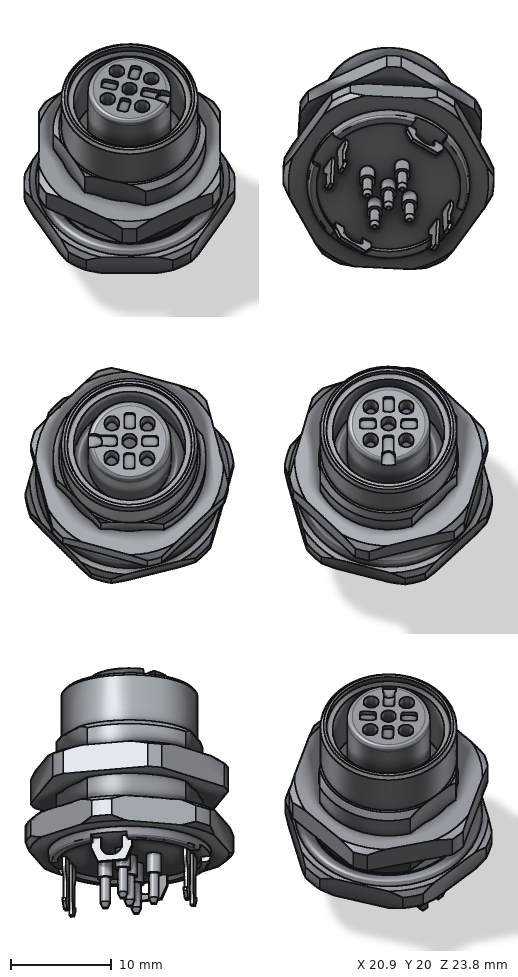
import cadquery as cq
import math

total_height = 23.8
rim_bottom = 4.74
recess_floor = 5.28
flange_bottom = 5.8
flange_top = 8.45
nut_bottom = 11.5
nut_height = 2.8
thread_top = 17.28
collar_top = 22.37

flange_across_flats = 19.05
flange_corner_radius = 10.45
flange_chamfer_width = 0.52
flange_chamfer_height = 0.48
nut_across_flats = 18.0
nut_corner_radius = 10.0
nut_chamfer_width = 0.67
nut_chamfer_height = nut_chamfer_width * math.tan(math.radians(30))
nut_bore_radius = 6.93

thread_radius = 7.6
thread_chamfer = 0.6
collar_radius = 6.75
collar_chamfer = 0.3
thread_flat_distance = collar_radius
thread_flat_angles = (90, 135, 270, 315)
mouth_radius = 6.16
mouth_depth = 0.7
socket_radius = 5.55
socket_floor = 14.28

core_radius = 4.12
core_fillet = 0.5
contact_pitch_radius = 2.5
contact_mouth_radius = 0.74
contact_inner_radius = 0.57
contact_depth = 1.9
pocket_inner_end = 1.24
pocket_outer_end = 2.85
pocket_width = 1.1
pocket_corner_radius = 0.33
pocket_depth = 0.5
pocket_angles = (45, 135, 225, 315)
key_angle = 45
key_width = 1.33
key_inner_end = 2.71
key_centre = key_inner_end + key_width / 2
key_depth = 0.8

socket_ring_section = (socket_radius - core_radius) / 2
socket_ring_radius = (socket_radius + core_radius) / 2
groove_inner_radius = 7.75
groove_outer_radius = 9.3
flange_ring_section = (groove_outer_radius - groove_inner_radius) / 2
flange_ring_radius = (groove_outer_radius + groove_inner_radius) / 2
flange_ring_rise = 0.33
groove_depth = 2 * flange_ring_section - flange_ring_rise

rim_top_radius = 8.1
rim_bottom_radius = 7.95
rim_fillet = 0.25
recess_radius = 7.15
notch_width = 3.71
pin_radius = 0.5
pin_tip_radius = 0.24
pin_tip = 0.17
pin_taper_top = 0.71
pin_shoulder_radius = 0.75
pin_shoulder_bottom = 3.25
clip_thickness = 0.35
hook_clip_distance = 6.05
loop_clip_distance = 6.33


def cylinder(radius, bottom, top):
    """Upright cylinder on the part axis."""
    return cq.Workplane("XY").workplane(offset=bottom).circle(radius).extrude(top - bottom)


def hexagon(across_flats, bottom, height):
    """Hexagonal prism with corners on the X axis."""
    corner_diameter = across_flats / math.cos(math.radians(30))
    return cq.Workplane("XY").workplane(offset=bottom).polygon(6, corner_diameter).extrude(height)


def turned(points):
    """Solid of revolution about Z from (radius, height) points."""
    return cq.Workplane("XZ").polyline(points).close().revolve(360, (0, 0, 0), (0, 1, 0))


def o_ring(ring_radius, section_radius, centre_height):
    """Full torus around the part axis."""
    return (
        cq.Workplane("XZ").center(ring_radius, centre_height).circle(section_radius)
        .revolve(360, (-ring_radius, 0, 0), (-ring_radius, 1, 0))
    )


def contact_positions():
    """Centre contact and four contacts on the pitch circle."""
    ring = [(contact_pitch_radius * math.cos(k * math.pi / 2),
             contact_pitch_radius * math.sin(k * math.pi / 2)) for k in range(4)]
    return [(0, 0)] + ring


def flange():
    """Hex flange with turned corners, chamfered above and below, and the O-ring groove."""
    chamfer_radius = flange_corner_radius - flange_chamfer_width
    blank = turned([
        (0, flange_bottom), (chamfer_radius, flange_bottom),
        (flange_corner_radius, flange_bottom + flange_chamfer_height),
        (flange_corner_radius, flange_top - flange_chamfer_height),
        (chamfer_radius, flange_top), (0, flange_top),
    ])
    body = hexagon(flange_across_flats, flange_bottom, flange_top - flange_bottom).intersect(blank)
    groove = cylinder(groove_outer_radius, flange_top - groove_depth, flange_top).cut(
        cylinder(groove_inner_radius, flange_top - groove_depth, flange_top))
    return body.cut(groove)


def threaded_section():
    """Chamfered cylinder with two pairs of opposite flats, 45 degrees apart."""
    body = cylinder(thread_radius, flange_top, thread_top).faces(">Z").chamfer(thread_chamfer)
    height = thread_top - flange_top
    for angle in thread_flat_angles:
        beyond_flat = (
            cq.Workplane("XY")
            .box(thread_radius, 2 * thread_radius, height, centered=(False, True, False))
            .translate((thread_flat_distance, 0, flange_top))
            .rotate((0, 0, 0), (0, 0, 1), angle)
        )
        body = body.cut(beyond_flat)
    return body


def collar():
    """Plain cylinder above the thread."""
    return cylinder(collar_radius, thread_top, collar_top).faces(">Z").chamfer(collar_chamfer)


def core():
    """Contact carrier in the middle of the socket."""
    body = cylinder(core_radius, socket_floor, total_height).faces(">Z").edges().fillet(core_fillet)
    for x, y in contact_positions():
        body = body.cut(contact_hole(x, y, tapered=(x, y) != (0, 0)))
    for angle in pocket_angles:
        outer_end = key_centre if angle == key_angle else pocket_outer_end
        body = body.cut(pocket(outer_end).rotate((0, 0, 0), (0, 0, 1), angle))
    return body.cut(keyway())


def contact_hole(x, y, tapered):
    """Blind contact hole; the outer four narrow towards the bottom."""
    bottom_radius = contact_inner_radius if tapered else contact_mouth_radius
    hole = turned([
        (0, total_height), (contact_mouth_radius, total_height),
        (bottom_radius, total_height - contact_depth), (0, total_height - contact_depth),
    ])
    return hole.translate((x, y, 0))


def pocket(outer_end):
    """Shallow rounded pocket lying along +X."""
    length = outer_end - pocket_inner_end
    return (
        cq.Workplane("XY").workplane(offset=total_height - pocket_depth)
        .center(pocket_inner_end + length / 2, 0).rect(length, pocket_width)
        .extrude(pocket_depth).edges("|Z").fillet(pocket_corner_radius)
    )


def keyway():
    """Round-ended coding slot, open at the side of the core."""
    half = key_width / 2
    slot = (
        cq.Workplane("XY").workplane(offset=total_height - key_depth)
        .moveTo(core_radius + half, -half).lineTo(key_centre, -half)
        .threePointArc((key_inner_end, 0), (key_centre, half))
        .lineTo(core_radius + half, half).close().extrude(key_depth)
    )
    return slot.rotate((0, 0, 0), (0, 0, 1), key_angle)


def socket_bore():
    """Space between collar and core, with a wider mouth."""
    mouth = cylinder(mouth_radius, collar_top - mouth_depth, collar_top)
    return cylinder(socket_radius, socket_floor, collar_top).union(mouth)


def rim():
    """Tapered hollow rim under the flange with four notches for the clips."""
    body = turned([
        (0, rim_bottom), (rim_bottom_radius, rim_bottom),
        (rim_top_radius, flange_bottom), (0, flange_bottom),
    ]).faces("<Z").edges().fillet(rim_fillet)
    body = body.cut(cylinder(recess_radius, rim_bottom, recess_floor))
    notch_length = 2 * rim_top_radius
    notch_height = recess_floor - rim_bottom
    for size in ((notch_length, notch_width), (notch_width, notch_length)):
        notch = cq.Workplane("XY").box(*size, notch_height, centered=(True, True, False))
        body = body.cut(notch.translate((0, 0, rim_bottom)))
    return body


def pin():
    """Shouldered solder pin with a tapered tip."""
    return turned([
        (0, pin_tip), (pin_tip_radius, pin_tip), (pin_radius, pin_taper_top),
        (pin_radius, pin_shoulder_bottom), (pin_shoulder_radius, pin_shoulder_bottom),
        (pin_shoulder_radius, recess_floor), (0, recess_floor),
    ])


def hook_finger():
    """One barbed snap-in finger, on the +X side of its clip."""
    root_inner, tip_inner = 0.48, 0.71
    shoulder, shoulder_bottom = 1.93, 4.25
    shank, shank_top = 1.48, 3.0
    barb, barb_top, barb_bottom = 1.78, 1.0, 0.67
    tip_outer = 1.35
    return (
        cq.Workplane("XZ")
        .moveTo(root_inner, recess_floor).lineTo(shoulder, recess_floor)
        .lineTo(shoulder, shoulder_bottom)
        .spline([(shank, shank_top)], tangents=[(0, -1), (0, -1)], includeCurrent=True)
        .lineTo(shank, barb_top).lineTo(barb, barb_top).lineTo(barb, barb_bottom)
        .lineTo(tip_outer, 0).lineTo(tip_inner, 0).close()
        .extrude(clip_thickness).translate((0, -hook_clip_distance, 0))
    )


def loop_clip():
    """Flat solder lug with a round-bottomed window, on the -X side."""
    lug, lug_side_bottom = 2.1, 4.21
    foot, foot_bottom = 1.45, 2.8
    window, window_side_bottom, window_bottom = 1.1, 4.21, 3.43
    plate = (
        cq.Workplane("YZ")
        .polyline([
            (lug, recess_floor), (lug, lug_side_bottom), (foot, foot_bottom),
            (-foot, foot_bottom), (-lug, lug_side_bottom), (-lug, recess_floor),
        ]).close().extrude(-clip_thickness)
    )
    opening = (
        cq.Workplane("YZ")
        .moveTo(-window, recess_floor).lineTo(-window, window_side_bottom)
        .threePointArc((0, window_bottom), (window, window_side_bottom))
        .lineTo(window, recess_floor).close().extrude(-clip_thickness)
    )
    return plate.cut(opening).translate((-loop_clip_distance, 0, 0))


def build_housing():
    """Flanged housing, one piece with its core, pins and clips."""
    body = flange().union(threaded_section()).union(collar()).cut(socket_bore())
    body = body.union(core()).union(rim())
    for x, y in contact_positions():
        body = body.union(pin().translate((x, y, 0)))
    finger = hook_finger()
    hook_clip = finger.union(finger.mirror("YZ"))
    for clip in (hook_clip, loop_clip()):
        for angle in (0, 180):
            body = body.union(clip.rotate((0, 0, 0), (0, 0, 1), angle))
    return body


def build_nut():
    """Hex nut, chamfered on top, fitted around the threaded section."""
    nut_top = nut_bottom + nut_height
    blank = turned([
        (0, nut_bottom), (nut_corner_radius, nut_bottom),
        (nut_corner_radius, nut_top - nut_chamfer_height),
        (nut_corner_radius - nut_chamfer_width, nut_top), (0, nut_top),
    ])
    prism = hexagon(nut_across_flats, nut_bottom, nut_height).rotate((0, 0, 0), (0, 0, 1), 30)
    body = prism.intersect(blank).cut(cylinder(nut_bore_radius, nut_bottom, nut_top))
    return body.cut(threaded_section())


housing = build_housing()
nut = build_nut()
flange_ring = o_ring(
    flange_ring_radius, flange_ring_section, flange_top + flange_ring_rise - flange_ring_section)
socket_ring = o_ring(socket_ring_radius, socket_ring_section, socket_floor + socket_ring_section)

result = cq.Compound.makeCompound([housing.val(), nut.val(), flange_ring.val(), socket_ring.val()])